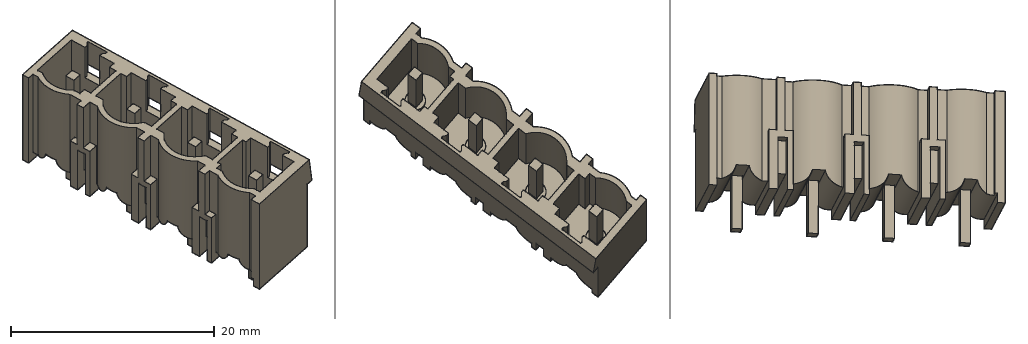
import cadquery as cq
import math


pole_count = 4
pitch = 7.62
housing_length = 29.65
housing_height = 11.72
wall_back_y = 7.65
pin_y = 3.75

left_wall = 0.77
right_wall = 1.05
foot_wall = left_wall
divider_thickness = 0.62
floor_top = 3.1

bay_back_y = 6.82
pocket_back_y = 6.1
pocket_front_y = 2.1
narrow_half_width = 2.75
end_narrow_half_width = 2.7
last_bay_shift = -0.35
end_bay_front_y = 1.4
bulge_inner_radius = 3.05
bulge_thickness = 0.6
bulge_outer_radius = bulge_inner_radius + bulge_thickness

end_front_y = 0.68
middle_front_y = 1.05

rib_width = 0.8
rib_base_width = 2.43
rib_base_height = 6.2
rib_slot_width = 0.95
rib_slot_offset = 0.18
rib_slot_top = 5.45
rib_slot_depth = middle_front_y
tunnel_height = 2.0

underside_z = 0.98
arch_top_z = 2.3
arch_radius = 1.6
arch_center_offset = 2.22

lip_height = 3.15
lip_top_y = 7.98
lip_bottom_y = 8.4

keyway_back_half_width = 1.2
keyway_front_half_width = 0.92
keyway_taper_start_y = 7.12
keyway_taper_end_y = 7.45
keyway_floor_z = 7.55

recess_radius = 1.0
recess_depth = 0.15

pin_size = 1.0
pin_drop = 3.23
pin_top_z = 10.8

left_x = -housing_length / 2
right_x = housing_length / 2
pin_xs = [(i - (pole_count - 1) / 2) * pitch for i in range(pole_count)]
bay_xs = [*pin_xs[:-1], pin_xs[-1] + last_bay_shift]
divider_xs = [(a + b) / 2 for a, b in zip(pin_xs, pin_xs[1:])]
foot_edges = [left_x + foot_wall, right_x - foot_wall]


def box(x0, x1, y0, y1, z0, z1):
    """Box between two opposite corners."""
    return cq.Workplane("XY").box(x1 - x0, y1 - y0, z1 - z0, centered=False).translate((x0, y0, z0))


def is_end(i):
    """True for the first and the last bay."""
    return i in (0, pole_count - 1)


def chord_half(radius, y):
    """Half width, at depth y, of a bulge circle centred at the pin depth."""
    return math.sqrt(radius**2 - (pin_y - y) ** 2)



def lip_wall():
    """Solid block whose top back edge carries the overhanging lip."""
    lip_z = housing_height - lip_height
    return (
        cq.Workplane("YZ")
        .polyline([
            (0, 0),
            (wall_back_y, 0),
            (wall_back_y, lip_z),
            (lip_bottom_y, lip_z),
            (lip_top_y, housing_height),
            (0, housing_height),
        ])
        .close()
        .extrude(housing_length)
        .translate((left_x, 0, 0))
    )


def front_relief(i):
    """Space in front of a bay wall, between its ribs and around its bulge."""
    x0 = left_x + left_wall if i == 0 else divider_xs[i - 1] + rib_width / 2
    x1 = right_x - right_wall if i == pole_count - 1 else divider_xs[i] - rib_width / 2
    front_y = end_front_y if is_end(i) else middle_front_y
    half = chord_half(bulge_outer_radius, front_y)
    x = bay_xs[i]
    return (
        cq.Workplane("XY")
        .moveTo(x0, 0)
        .lineTo(x0, front_y)
        .lineTo(x - half, front_y)
        .threePointArc((x, pin_y - bulge_outer_radius), (x + half, front_y))
        .lineTo(x1, front_y)
        .lineTo(x1, 0)
        .close()
        .extrude(housing_height)
    )


def rib_base(x):
    """Wide lower part of a front rib."""
    half = rib_base_width / 2
    return box(x - half, x + half, 0, middle_front_y, 0, rib_base_height)


def rib_slot(x):
    """Slot in the front of a rib base, with a low tunnel running on to the back."""
    x0 = x + rib_slot_offset - rib_slot_width / 2
    x1 = x0 + rib_slot_width
    slot = box(x0, x1, 0, rib_slot_depth, 0, rib_slot_top)
    return slot.union(box(x0, x1, 0, wall_back_y, 0, tunnel_height))


def bay_cavity(i):
    """Open-topped bay: wide pocket, narrower back and front parts, round bulge."""
    x = bay_xs[i]
    first = i == 0
    last = i == pole_count - 1
    narrow_half = end_narrow_half_width if is_end(i) else narrow_half_width
    pocket_left = left_x + left_wall if first else divider_xs[i - 1] + divider_thickness / 2
    pocket_right = right_x - right_wall if last else divider_xs[i] - divider_thickness / 2
    narrow_left = pocket_left if first else x - narrow_half
    narrow_right = pocket_right if last else x + narrow_half

    top = housing_height
    cavity = box(pocket_left, pocket_right, pocket_front_y, pocket_back_y, floor_top, top)
    cavity = cavity.union(box(narrow_left, narrow_right, pocket_front_y, bay_back_y, floor_top, top))
    front_y = pocket_front_y
    if is_end(i):
        front_y = end_bay_front_y
        cavity = cavity.union(box(narrow_left, narrow_right, front_y, pocket_back_y, floor_top, top))

    half = chord_half(bulge_inner_radius, front_y)
    bulge = (
        cq.Workplane("XY")
        .workplane(offset=floor_top)
        .moveTo(x - half, pin_y)
        .lineTo(x - half, front_y)
        .threePointArc((x, pin_y - bulge_inner_radius), (x + half, front_y))
        .lineTo(x + half, pin_y)
        .close()
        .extrude(top - floor_top)
    )
    return cavity.union(bulge)


def keyway(x):
    """Dovetail groove through the back wall, closed at the top by the lip alone."""
    return (
        cq.Workplane("XY")
        .workplane(offset=keyway_floor_z)
        .polyline([
            (x - keyway_front_half_width, bay_back_y),
            (x - keyway_front_half_width, keyway_taper_start_y),
            (x - keyway_back_half_width, keyway_taper_end_y),
            (x - keyway_back_half_width, wall_back_y),
            (x + keyway_back_half_width, wall_back_y),
            (x + keyway_back_half_width, keyway_taper_end_y),
            (x + keyway_front_half_width, keyway_taper_start_y),
            (x + keyway_front_half_width, bay_back_y),
        ])
        .close()
        .extrude(housing_height - keyway_floor_z)
    )


def underside_relief(i):
    """Raised underside of one bay between its feet, running from front to back."""
    x0 = foot_edges[0] if i == 0 else divider_xs[i - 1] + rib_base_width / 2
    x1 = foot_edges[1] if i == pole_count - 1 else divider_xs[i] - rib_base_width / 2
    return box(x0, x1, 0, wall_back_y, 0, underside_z)


def underside_arch(x):
    """Bell-shaped arch above the raised underside, flared by two round lobes."""
    arc_center_z = underside_z + arch_radius

    def arc_point(z):
        """Distance from the pin axis to the lobe at height z."""
        return arch_center_offset - math.sqrt(arch_radius**2 - (arc_center_z - z) ** 2)

    mid_z = (underside_z + arch_top_z) / 2
    top_half = arc_point(arch_top_z)
    mid_half = arc_point(mid_z)
    return (
        cq.Workplane("XZ")
        .moveTo(x - arch_center_offset, underside_z)
        .threePointArc((x - mid_half, mid_z), (x - top_half, arch_top_z))
        .lineTo(x + top_half, arch_top_z)
        .threePointArc((x + mid_half, mid_z), (x + arch_center_offset, underside_z))
        .close()
        .extrude(-wall_back_y)
    )


def pin_recess(x):
    """Shallow round recess in the bay floor."""
    return (
        cq.Workplane("XY")
        .workplane(offset=floor_top - recess_depth)
        .center(x, pin_y)
        .circle(recess_radius)
        .extrude(recess_depth)
    )



def pin(x):
    """Square pin standing in a bay and reaching below the housing."""
    half = pin_size / 2
    return box(x - half, x + half, pin_y - half, pin_y + half, -pin_drop, pin_top_z)


def build_housing():
    """Housing with every bay, rib, keyway, arch and pin hole."""
    body = lip_wall()
    for i in range(pole_count):
        body = body.cut(front_relief(i))
    for x in divider_xs:
        body = body.union(rib_base(x))
    for i, x in enumerate(pin_xs):
        body = body.cut(bay_cavity(i))
        body = body.cut(keyway(x))
        body = body.cut(underside_relief(i))
        body = body.cut(underside_arch(x))
        body = body.cut(pin_recess(x))
        body = body.cut(pin(x))
    for x in divider_xs:
        body = body.cut(rib_slot(x))
    return body


housing = build_housing()
pins = [pin(x) for x in pin_xs]

result = cq.Compound.makeCompound([housing.val(), *[p.val() for p in pins]])